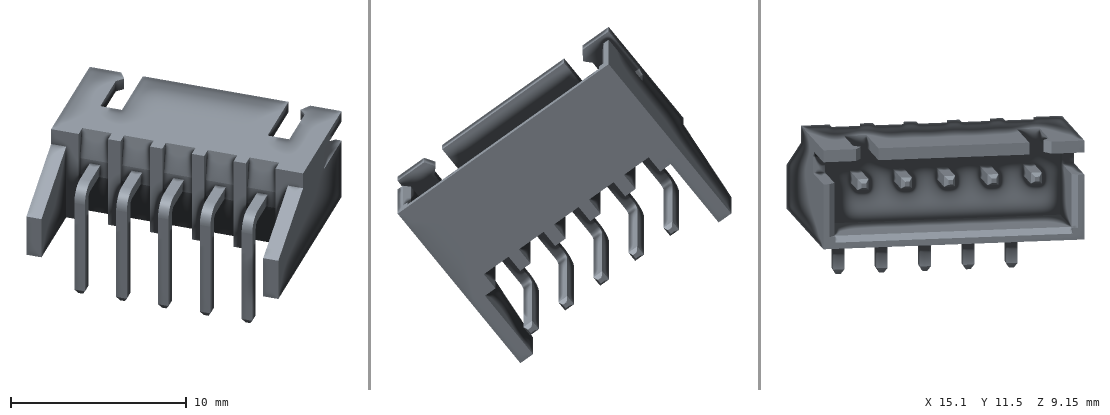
import cadquery as cq


WIDTH = 15.1
TOTAL_DEPTH = 11.5
TOTAL_HEIGHT = 9.15
HOUSING_HEIGHT = 5.75
BODY_DEPTH = 7.0

PIN_COUNT = 5
PITCH = 2.5
PIN_SIZE = 0.63
PIN_AXIS_Z = 3.4
PIN_REAR_DEPTH = 9.51
PIN_FRONT_DEPTH = 1.01
BEND_INNER_RADIUS = 0.35
TIP_LENGTH = 0.3
TIP_INSET = 0.18
PIN_XS = [PITCH * (i - (PIN_COUNT - 1) / 2) for i in range(PIN_COUNT)]
PIN_BOTTOM_Z = HOUSING_HEIGHT - TOTAL_HEIGHT

WALL = 0.7
LEAD_IN = 0.33
LATCH_DEPTH = 3.79
CAVITY_DEPTH = LATCH_DEPTH
CEILING_Z = HOUSING_HEIGHT - WALL

LATCH_WIDTH = 1.3
HOOK_REACH = 0.38
HOOK_PEAK_DEPTH = 0.59
HOOK_END_DEPTH = 0.98

SIDE_SLOT_DEPTH = 3.19
SIDE_SLOT_BOTTOM_Z = 3.78
SIDE_SLOT_CHAMFER = 0.32

WING_THICKNESS = 0.9
WING_START_Z = 4.75
WING_END_Z = 2.57

POCKET_WIDTH = 1.77
POCKET_TOP_DEPTH = 6.34
POCKET_BULGE_DEPTH = 6.7
POCKET_BOTTOM_DEPTH = 5.92
BULGE_TOP_Z = 3.95
BULGE_BOTTOM_Z = 2.9


def side_profile(points, thickness, center_x):
    """Extrude an outline of (depth, z) points along X, centred on center_x."""
    outline = [(-depth, z) for depth, z in points]
    return (
        cq.Workplane("YZ", origin=(center_x, 0, 0))
        .polyline(outline)
        .close()
        .extrude(thickness / 2, both=True)
    )


def box(x_size, depth_start, depth_end, z_start, z_end, center_x=0.0):
    """Box between two depths and two heights, centred on center_x."""
    points = [(depth_start, z_start), (depth_end, z_start), (depth_end, z_end), (depth_start, z_end)]
    return side_profile(points, x_size, center_x)


def make_wing(side):
    """Sloping plate that carries a side wall on behind the body."""
    points = [
        (BODY_DEPTH, 0),
        (TOTAL_DEPTH, 0),
        (TOTAL_DEPTH, WING_END_Z),
        (BODY_DEPTH, WING_START_Z),
    ]
    return side_profile(points, WING_THICKNESS, side * (WIDTH - WING_THICKNESS) / 2)


def make_cavity():
    """Mating cavity with a lead-in chamfer on the floor and the side walls."""
    cavity_width = WIDTH - 2 * WALL
    cavity = box(cavity_width, 0, CAVITY_DEPTH, WALL, CEILING_Z)
    floor_lead_in = side_profile([(0, WALL), (0, WALL - LEAD_IN), (LEAD_IN, WALL)], cavity_width, 0)
    half = cavity_width / 2
    side_lead_in = (
        cq.Workplane("XY", origin=(0, 0, WALL))
        .polyline([(-half - LEAD_IN, 0), (half + LEAD_IN, 0), (half, -LEAD_IN), (-half, -LEAD_IN)])
        .close()
        .extrude(CEILING_Z - WALL)
    )
    return cavity.union(floor_lead_in).union(side_lead_in)


def make_latch_slot(side):
    """Slot through the roof around an end pin, narrowed by the hook on its outer edge."""
    center_x = side * PIN_XS[-1]
    inner_x = center_x - side * LATCH_WIDTH / 2
    outer_x = center_x + side * LATCH_WIDTH / 2
    return (
        cq.Workplane("XY", origin=(0, 0, CEILING_Z))
        .moveTo(inner_x, 0)
        .lineTo(outer_x, 0)
        .lineTo(outer_x - side * HOOK_REACH, -HOOK_PEAK_DEPTH)
        .lineTo(outer_x, -HOOK_END_DEPTH)
        .lineTo(outer_x, -LATCH_DEPTH)
        .lineTo(inner_x, -LATCH_DEPTH)
        .close()
        .extrude(WALL)
    )


def make_side_slot():
    """Slot across both side walls, chamfered at its upper rear corner."""
    slot = box(WIDTH, 0, SIDE_SLOT_DEPTH, SIDE_SLOT_BOTTOM_Z, CEILING_Z)
    return slot.edges("|X and <Y and >Z").chamfer(SIDE_SLOT_CHAMFER)


def make_pocket(center_x):
    """Rear pocket open at the top, the bottom and the back."""
    points = [
        (BODY_DEPTH, 0),
        (POCKET_BOTTOM_DEPTH, 0),
        (POCKET_BULGE_DEPTH, BULGE_BOTTOM_Z),
        (POCKET_BULGE_DEPTH, BULGE_TOP_Z),
        (POCKET_TOP_DEPTH, HOUSING_HEIGHT),
        (BODY_DEPTH, HOUSING_HEIGHT),
    ]
    return side_profile(points, POCKET_WIDTH, center_x)


def make_pin_hole(center_x):
    """Square hole that carries a pin through the wall between pocket and cavity."""
    half = PIN_SIZE / 2
    return box(PIN_SIZE, CAVITY_DEPTH, BODY_DEPTH, PIN_AXIS_Z - half, PIN_AXIS_Z + half, center_x)


def make_housing():
    housing = box(WIDTH, 0, BODY_DEPTH, 0, HOUSING_HEIGHT)
    for side in (-1, 1):
        housing = housing.union(make_wing(side))
    housing = housing.cut(make_cavity()).cut(make_side_slot())
    for side in (-1, 1):
        housing = housing.cut(make_latch_slot(side))
    for center_x in PIN_XS:
        housing = housing.cut(make_pocket(center_x)).cut(make_pin_hole(center_x))
    return housing


def make_tip(plane):
    """Tapered pin end, growing along the normal of the given plane."""
    tip_size = PIN_SIZE - 2 * TIP_INSET
    return (
        cq.Workplane(plane)
        .rect(PIN_SIZE, PIN_SIZE)
        .workplane(offset=TIP_LENGTH)
        .rect(tip_size, tip_size)
        .loft(ruled=True)
    )


def make_pin(center_x):
    """Square pin that runs out of the housing, bends down and is tapered at both ends."""
    upper_z = PIN_AXIS_Z + PIN_SIZE / 2
    bar_end_depth = PIN_FRONT_DEPTH + TIP_LENGTH
    leg_end_z = PIN_BOTTOM_Z + TIP_LENGTH
    leg_axis_depth = PIN_REAR_DEPTH - PIN_SIZE / 2

    bar = box(PIN_SIZE, bar_end_depth, PIN_REAR_DEPTH, upper_z - PIN_SIZE, upper_z, center_x)
    leg = box(PIN_SIZE, PIN_REAR_DEPTH - PIN_SIZE, PIN_REAR_DEPTH, leg_end_z, upper_z, center_x)
    pin = bar.union(leg)
    pin = pin.edges("|X and <Y and >Z").fillet(BEND_INNER_RADIUS + PIN_SIZE)
    inner_corner = cq.selectors.NearestToPointSelector(
        (center_x, -PIN_REAR_DEPTH + PIN_SIZE, upper_z - PIN_SIZE)
    )
    pin = pin.edges("|X").edges(inner_corner).fillet(BEND_INNER_RADIUS)

    mating_plane = cq.Plane((center_x, -bar_end_depth, PIN_AXIS_Z), xDir=(1, 0, 0), normal=(0, 1, 0))
    board_plane = cq.Plane((center_x, -leg_axis_depth, leg_end_z), xDir=(1, 0, 0), normal=(0, 0, -1))
    return pin.union(make_tip(mating_plane)).union(make_tip(board_plane))


housing = make_housing()
pins = [make_pin(center_x) for center_x in PIN_XS]

result = cq.Compound.makeCompound([housing.val(), *[pin.val() for pin in pins]])